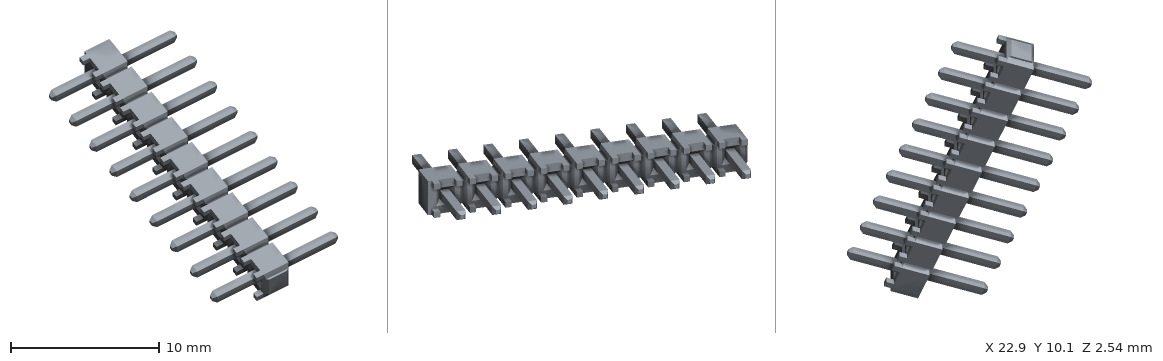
import cadquery as cq

pin_count = 9
row_length = 22.85
pitch = row_length / pin_count
body_height = pitch
body_depth = 2.0
block_half_width = 1.0

front_groove_depth = 0.27
web_half_length = 0.14
web_height = 1.62

foot_width = 0.43
foot_height = 0.43
foot_length = 0.55

pin_width = 0.65
pin_front_length = 3.55
pin_back_length = 4.5
tip_length = 0.3
tip_width = 0.3

pocket_width = 1.33
pocket_depth = 0.4

half_pitch = pitch / 2
half_height = body_height / 2
front_y = -body_depth / 2
back_y = body_depth / 2
pin_positions = [(i - (pin_count - 1) / 2) * pitch for i in range(pin_count)]


def square_frustum(x, y_start, start_width, y_end, end_width):
    """Square frustum along Y, centred on a pin axis."""
    plane = cq.Plane(origin=(x, y_start, 0), xDir=(1, 0, 0), normal=(0, 1, 0))
    return (
        cq.Workplane(plane)
        .rect(start_width, start_width)
        .workplane(offset=y_end - y_start)
        .rect(end_width, end_width)
        .loft(ruled=True)
    )


def top_groove(x):
    """Trapezoidal groove along Y across the top, down to the web."""
    web_top = web_height / 2
    edge = half_pitch - block_half_width
    return (
        cq.Workplane("XZ", origin=(x, back_y, 0))
        .polyline([
            (-edge, half_height),
            (-web_half_length, web_top),
            (web_half_length, web_top),
            (edge, half_height),
        ])
        .close()
        .extrude(body_depth)
    )


def front_groove(x):
    """Vertical V groove in the front face."""
    edge = half_pitch - block_half_width
    return (
        cq.Workplane("XY", origin=(x, 0, -half_height))
        .polyline([(-edge, front_y), (0, front_y + front_groove_depth), (edge, front_y)])
        .close()
        .extrude(body_height)
    )


def block_feet(x):
    """Four feet on the front face of one block."""
    spacing_x = 2 * block_half_width - foot_width
    spacing_z = body_height - foot_height
    return (
        cq.Workplane("XZ", origin=(x, front_y, 0))
        .rect(spacing_x, spacing_z, forConstruction=True)
        .vertices()
        .rect(foot_width, foot_height)
        .extrude(foot_length)
    )


def pin(x):
    """Square pin through the body, tapered at both tips."""
    front_tip = front_y - pin_front_length
    back_tip = back_y + pin_back_length
    front_shoulder = front_tip + tip_length
    back_shoulder = back_tip - tip_length
    shank = square_frustum(x, front_shoulder, pin_width, back_shoulder, pin_width)
    front = square_frustum(x, front_tip, tip_width, front_shoulder, pin_width)
    back = square_frustum(x, back_shoulder, pin_width, back_tip, tip_width)
    return shank.union(front).union(back)


result = cq.Workplane("XY").box(row_length, body_depth, body_height)
for pin_x in pin_positions:
    groove_x = pin_x + half_pitch
    top = top_groove(groove_x)
    front = front_groove(groove_x)
    result = result.cut(top).cut(top.mirror("XY"))
    result = result.cut(front).cut(front.mirror("XZ"))

for pin_x in pin_positions:
    pocket = square_frustum(pin_x, front_y, pocket_width, front_y + pocket_depth, pin_width)
    result = result.cut(pocket).union(block_feet(pin_x)).union(pin(pin_x))